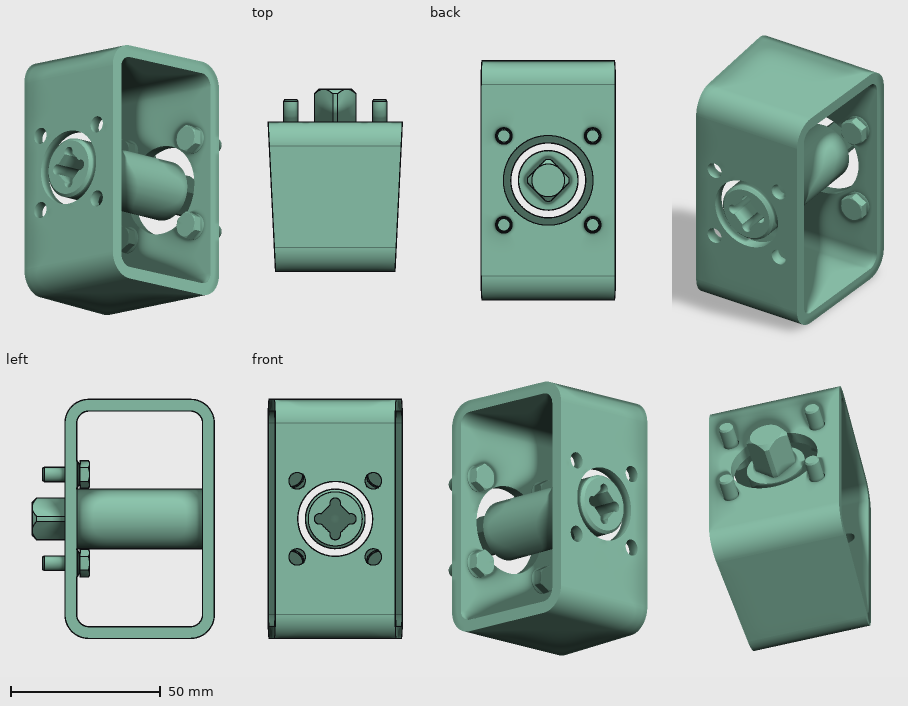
import cadquery as cq
import math


frame_height = 80
frame_depth = 50.0
frame_wall = 4
frame_outer_radius = 8
frame_inner_radius = frame_outer_radius - frame_wall
frame_front_width = 40
frame_back_width = 45.0

bolt_hole_diameter = 5.5
front_opening_diameter = 25.0
front_bolt_circle = 36
back_opening_diameter = 30.0
back_bolt_circle = 42.0

overall_depth = 61.0
shaft_diameter = 20
shaft_front_y = 0
shaft_back_y = 48
shaft_chamfer = 1.0
drive_square = 11.0
drive_corner_diameter = 14.0
drive_chamfer = 1.5
socket_square = 9.0
socket_relief_diameter = 3.5
socket_corner_diameter = 14.0
socket_depth = 16

washer_outer_diameter = 9.0
washer_inner_diameter = 5.3
washer_thickness = 0.7
washer_bevel_height = 0.5
washer_bevel_width = 1.0
bolt_diameter = 5.0
bolt_length = 12.2
tip_chamfer_length = 0.6
tip_chamfer_width = 0.4
head_height = 3.5
head_across_flats = 8
head_across_corners = head_across_flats / math.cos(math.radians(30))
bearing_diameter = 6.9
bearing_height = 0.4
head_rim_angle = 30

inner_back_y = frame_depth - frame_wall
bolt_seat_y = inner_back_y - washer_thickness


def plane_at(y):
    """Workplane facing +Y at the given Y, with its local x along X and local y along -Z."""
    return cq.Workplane(cq.Plane(origin=(0, y, 0), xDir=(1, 0, 0), normal=(0, 1, 0)))


def square_pattern(bolt_circle):
    """Four points on a bolt circle, midway between the X and Z directions."""
    half_pitch = bolt_circle / 2 * math.cos(math.radians(45))
    return [(x, z) for x in (-half_pitch, half_pitch) for z in (-half_pitch, half_pitch)]


def rounded_bar(depth, height, radius):
    """Bar along X with rounded edges, centred in the frame."""
    bar = cq.Workplane("YZ").center(frame_depth / 2, 0).rect(depth, height)
    return bar.extrude(frame_back_width / 2, both=True).edges("|X").fillet(radius)


def wall_cutter(y, opening_diameter, bolt_circle):
    """Central opening and four bolt holes through the wall that starts at y."""
    opening = plane_at(y).circle(opening_diameter / 2).extrude(frame_wall)
    holes = plane_at(y).pushPoints(square_pattern(bolt_circle))
    return opening.union(holes.circle(bolt_hole_diameter / 2).extrude(frame_wall))


def make_frame():
    tube = rounded_bar(frame_depth, frame_height, frame_outer_radius).cut(
        rounded_bar(frame_depth - 2 * frame_wall, frame_height - 2 * frame_wall, frame_inner_radius)
    )
    taper = (
        cq.Workplane("XY")
        .moveTo(-frame_front_width / 2, 0)
        .lineTo(frame_front_width / 2, 0)
        .lineTo(frame_back_width / 2, frame_depth)
        .lineTo(-frame_back_width / 2, frame_depth)
        .close()
        .extrude(frame_height / 2, both=True)
    )
    frame = tube.intersect(taper)
    frame = frame.cut(wall_cutter(0, front_opening_diameter, front_bolt_circle))
    return frame.cut(wall_cutter(inner_back_y, back_opening_diameter, back_bolt_circle))


def make_drive():
    """Square with its corners up, turned down at the corners and chamfered at the end."""
    length = overall_depth - shaft_back_y
    square = plane_at(shaft_back_y).transformed(rotate=(0, 0, 45)).rect(drive_square, drive_square)
    turned = plane_at(shaft_back_y).circle(drive_corner_diameter / 2).extrude(length)
    return square.extrude(length).intersect(turned.faces(">Y").chamfer(drive_chamfer))


def make_socket():
    """Square with its corners up and a round relief in each corner."""
    relief_offset = (socket_corner_diameter - socket_relief_diameter) / 2
    square = plane_at(shaft_front_y).transformed(rotate=(0, 0, 45)).rect(socket_square, socket_square)
    reliefs = plane_at(shaft_front_y).polarArray(relief_offset, 0, 360, 4).circle(socket_relief_diameter / 2)
    return square.extrude(socket_depth).union(reliefs.extrude(socket_depth))


def make_spindle():
    shaft = plane_at(shaft_front_y).circle(shaft_diameter / 2).extrude(shaft_back_y - shaft_front_y)
    shaft = shaft.faces("<Y").chamfer(shaft_chamfer)
    return shaft.union(make_drive()).cut(make_socket())


def make_washer(x, z):
    """Washer against the back wall, bevelled on the side of the bolt head."""
    washer = plane_at(bolt_seat_y).circle(washer_outer_diameter / 2).extrude(washer_thickness)
    washer = washer.faces("<Y").edges().chamfer(washer_bevel_height, washer_bevel_width)
    bore = plane_at(bolt_seat_y).circle(washer_inner_diameter / 2).extrude(washer_thickness)
    return washer.cut(bore).translate((x, 0, z))


def make_bolt(x, z):
    """Hexagon bolt pointing to +Y, with two corners of its head along Z."""
    hexagon_height = head_height - bearing_height
    hexagon = plane_at(bolt_seat_y - head_height).transformed(rotate=(0, 0, 90))
    head = hexagon.polygon(6, head_across_corners).extrude(hexagon_height)
    rim_width = (head_across_corners - head_across_flats) / 2
    rim_height = rim_width * math.tan(math.radians(head_rim_angle))
    turned = plane_at(bolt_seat_y - head_height).circle(head_across_corners / 2).extrude(hexagon_height)
    head = head.intersect(turned.faces("<Y").edges().chamfer(rim_height, rim_width))
    bearing = plane_at(bolt_seat_y - bearing_height).circle(bearing_diameter / 2).extrude(bearing_height)
    shank = plane_at(bolt_seat_y).circle(bolt_diameter / 2).extrude(bolt_length)
    shank = shank.faces(">Y").edges().chamfer(tip_chamfer_length, tip_chamfer_width)
    return head.union(bearing).union(shank).translate((x, 0, z))


frame = make_frame()
spindle = make_spindle()
washers = [make_washer(x, z) for x, z in square_pattern(back_bolt_circle)]
bolts = [make_bolt(x, z) for x, z in square_pattern(back_bolt_circle)]

fasteners = [body.val() for body in washers + bolts]
result = cq.Compound.makeCompound([frame.val(), spindle.val(), *fasteners])